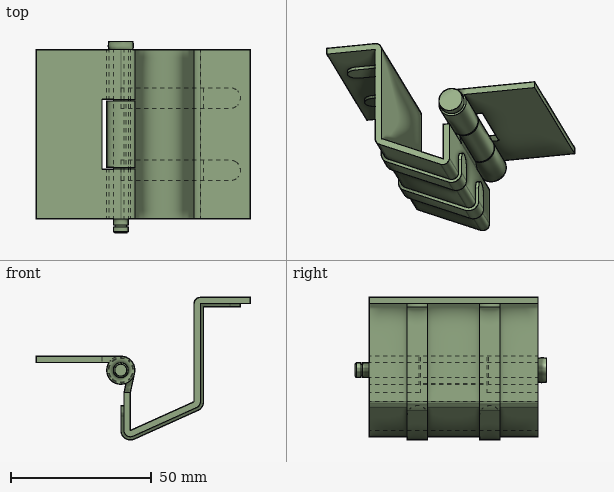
import cadquery as cq
import math

SHEET = 2.3
WIDTH = 60.05
PIN_RADIUS = 2.65
BARREL_RADIUS = 5.0

LEAF_END_X = -30.0
NOTCH_WIDTH = 24.8
NOTCH_END_X = -6.6

KNUCKLE_WIDTH = 23.6
LOW_WALL_X = 1.15
LOW_WALL_TOP_Z = -8.0
LOW_CORNER_Z = -21.35
HIGH_WALL_X = 26.0
HIGH_CORNER_Z = -11.2
FLANGE_TOP_Z = 25.9
FLANGE_END_X = LEAF_END_X + 76.0

RIB_THICKNESS = 1.15
RIB_WIDTH = 7.3
RIB_SPACING = 25.7
RIB_LOW_END_Z = -12.55
RIB_FLANGE_END_X = 42.5

HEAD_RADIUS = 4.5
HEAD_END_RADIUS = 4.25
HEAD_LENGTH = 3.0
TAIL_LENGTH = 5.0
GROOVE_OFFSET = 2.3
GROOVE_WIDTH = 0.6
GROOVE_RADIUS = 2.1
TIP_CHAMFER = 0.5

LOW_CORNER = (LOW_WALL_X + SHEET, LOW_CORNER_Z)
HIGH_CORNER = (HIGH_WALL_X, HIGH_CORNER_Z)
RAMP_ANGLE = math.atan2(HIGH_CORNER[1] - LOW_CORNER[1], HIGH_CORNER[0] - LOW_CORNER[0])


def polar(center, radius, angle):
    """Point at the given radius and angle (radians) from a center in XZ."""
    return (center[0] + radius * math.cos(angle), center[1] + radius * math.sin(angle))


def extrude_y(profile, width):
    """Extrude a closed XZ profile symmetrically about the XZ plane."""
    return profile.extrude(width / 2, both=True)


def y_cylinder(radius, width):
    return extrude_y(cq.Workplane("XZ").circle(radius), width)


def make_leaf():
    plate_length = -LEAF_END_X
    plate = cq.Workplane("XY").box(plate_length, WIDTH, SHEET, centered=(False, True, False))
    plate = plate.translate((LEAF_END_X, 0, BARREL_RADIUS - SHEET))
    notch = cq.Workplane("XY").box(
        BARREL_RADIUS - NOTCH_END_X, NOTCH_WIDTH, 2 * BARREL_RADIUS, centered=(False, True, True)
    ).translate((NOTCH_END_X, 0, 0))
    leaf = plate.union(y_cylinder(BARREL_RADIUS, WIDTH)).cut(notch)
    return leaf.cut(y_cylinder(PIN_RADIUS, WIDTH))


def outer_bends(profile, offset, end):
    """Trace the outside of both lower bends, at an offset from the inner corners, up to end."""
    ramp_normal = RAMP_ANGLE - math.pi / 2
    low_middle = (math.pi + RAMP_ANGLE + 1.5 * math.pi) / 2
    return (
        profile.lineTo(LOW_CORNER[0] - offset, LOW_CORNER[1])
        .threePointArc(polar(LOW_CORNER, offset, low_middle), polar(LOW_CORNER, offset, ramp_normal))
        .lineTo(*polar(HIGH_CORNER, offset, ramp_normal))
        .threePointArc(
            polar(HIGH_CORNER, offset, ramp_normal / 2), (HIGH_CORNER[0] + offset, HIGH_CORNER[1])
        )
        .lineTo(HIGH_CORNER[0] + offset, end)
    )


def make_folded_sheet():
    flange_bottom_z = FLANGE_TOP_Z - SHEET
    bend_center = (HIGH_WALL_X + SHEET, flange_bottom_z)
    profile = cq.Workplane("XZ").moveTo(LOW_WALL_X, LOW_WALL_TOP_Z)
    profile = (
        outer_bends(profile, SHEET, flange_bottom_z)
        .lineTo(FLANGE_END_X, flange_bottom_z)
        .lineTo(FLANGE_END_X, FLANGE_TOP_Z)
        .lineTo(bend_center[0], FLANGE_TOP_Z)
        .threePointArc(polar(bend_center, SHEET, 0.75 * math.pi), (HIGH_WALL_X, flange_bottom_z))
        .lineTo(*HIGH_CORNER)
        .lineTo(*LOW_CORNER)
        .lineTo(LOW_CORNER[0], LOW_WALL_TOP_Z)
        .close()
    )
    return extrude_y(profile, WIDTH)


def make_knuckle():
    """Barrel plus the sloping web, tangent to it, that joins it to the low wall."""
    web_foot = (LOW_CORNER[0], LOW_WALL_TOP_Z)
    foot_distance = math.hypot(*web_foot)
    tangent_angle = math.atan2(web_foot[1], web_foot[0]) + math.acos(BARREL_RADIUS / foot_distance)
    web = (
        cq.Workplane("XZ")
        .moveTo(LOW_WALL_X, LOW_WALL_TOP_Z)
        .lineTo(*web_foot)
        .lineTo(*polar((0, 0), BARREL_RADIUS, tangent_angle))
        .lineTo(*polar((0, 0), BARREL_RADIUS - SHEET, tangent_angle))
        .close()
    )
    knuckle = y_cylinder(BARREL_RADIUS, KNUCKLE_WIDTH).union(extrude_y(web, KNUCKLE_WIDTH))
    return knuckle.cut(y_cylinder(PIN_RADIUS, KNUCKLE_WIDTH))


def round_end(width, thickness):
    """Half disc bulging along +X, rising from the XY plane."""
    disc = cq.Workplane("XY").circle(width / 2).extrude(thickness)
    return disc.intersect(cq.Workplane("XY").box(width, width, thickness, centered=(False, True, False)))


def make_rib():
    end_radius = RIB_WIDTH / 2
    low_end_z = RIB_LOW_END_Z - end_radius
    flange_end_x = RIB_FLANGE_END_X - end_radius
    flange_bottom_z = FLANGE_TOP_Z - SHEET
    rib_bottom_z = flange_bottom_z - RIB_THICKNESS
    rib_low_x = LOW_WALL_X - RIB_THICKNESS
    outer_offset = SHEET + RIB_THICKNESS

    profile = cq.Workplane("XZ").moveTo(rib_low_x, low_end_z)
    profile = (
        outer_bends(profile, outer_offset, rib_bottom_z)
        .lineTo(flange_end_x, rib_bottom_z)
        .lineTo(flange_end_x, flange_bottom_z)
        .lineTo(HIGH_WALL_X, flange_bottom_z)
        .lineTo(*HIGH_CORNER)
        .lineTo(*LOW_CORNER)
        .lineTo(LOW_CORNER[0], low_end_z)
        .close()
    )
    flange_end = round_end(RIB_WIDTH, RIB_THICKNESS).translate((flange_end_x, 0, rib_bottom_z))
    low_end = (
        round_end(RIB_WIDTH, RIB_THICKNESS)
        .rotate((0, 0, 0), (0, 1, 0), -90)
        .translate((LOW_WALL_X, 0, low_end_z))
    )
    return extrude_y(profile, RIB_WIDTH).union(flange_end).union(low_end)


def make_bracket():
    bracket = make_folded_sheet().union(make_knuckle())
    for side in (-1, 1):
        bracket = bracket.union(make_rib().translate((0, side * RIB_SPACING / 2, 0)))
    return bracket


def make_pin():
    head_y = WIDTH / 2
    tip_y = -WIDTH / 2 - TAIL_LENGTH
    groove_top_y = -WIDTH / 2 - GROOVE_OFFSET
    groove_bottom_y = groove_top_y - GROOVE_WIDTH
    return (
        cq.Workplane("XY")
        .moveTo(0, tip_y)
        .lineTo(PIN_RADIUS - TIP_CHAMFER, tip_y)
        .lineTo(PIN_RADIUS, tip_y + TIP_CHAMFER)
        .lineTo(PIN_RADIUS, groove_bottom_y)
        .lineTo(GROOVE_RADIUS, groove_bottom_y)
        .lineTo(GROOVE_RADIUS, groove_top_y)
        .lineTo(PIN_RADIUS, groove_top_y)
        .lineTo(PIN_RADIUS, head_y)
        .lineTo(HEAD_END_RADIUS, head_y)
        .threePointArc(
            (HEAD_RADIUS, head_y + HEAD_LENGTH / 2), (HEAD_END_RADIUS, head_y + HEAD_LENGTH)
        )
        .lineTo(0, head_y + HEAD_LENGTH)
        .close()
        .revolve(360, (0, 0, 0), (0, 1, 0))
    )


leaf = make_leaf()
bracket = make_bracket()
pin = make_pin()

result = cq.Compound.makeCompound([leaf.val(), bracket.val(), pin.val()])